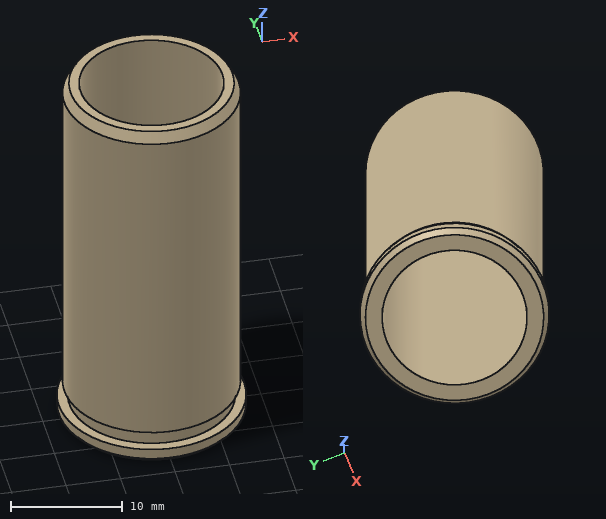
import cadquery as cq

length = 36.0
bore_radius = 13.0 / 2
body_radius = 16.0 / 2
flange_radius = 17.0 / 2

flange_height = 1.5
flange_chamfer = 0.5
groove_width = 1.5
groove_radius = 15.1 / 2

lead_in_height = 1.0
lead_in_width = 0.58

groove_top = flange_height + groove_width

half_section = [
    (bore_radius, 0),
    (flange_radius - flange_chamfer, 0),
    (flange_radius, flange_chamfer),
    (flange_radius, flange_height),
    (groove_radius, flange_height),
    (groove_radius, groove_top),
    (body_radius, groove_top),
    (body_radius, length - lead_in_height),
    (body_radius - lead_in_width, length),
    (bore_radius, length),
]

result = (
    cq.Workplane("XZ")
    .polyline(half_section)
    .close()
    .revolve(360, (0, 0, 0), (0, 1, 0))
)